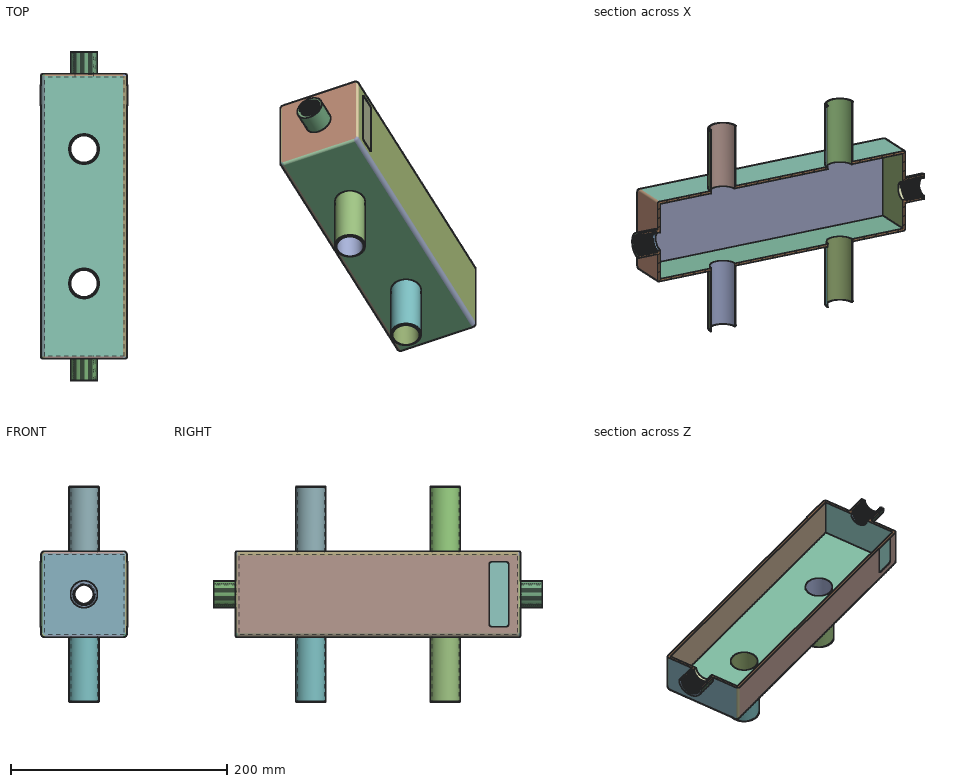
import cadquery as cq
body_width = 80.0
body_length = 264.0
wall = 3.0
long_edge_radius = 4.0
end_edge_radius = 2.0

pipe_diameter = 28.0
pipe_bore = 25.0
pipe_span = 200.0
pipe_end_chamfer = 1.0
pipe_spacing = 124.3
pipe_centres = [(0, -pipe_spacing / 2), (0, pipe_spacing / 2)]

overall_length = 304.0
socket_diameter = 25.0
socket_length = (overall_length - body_length) / 2
thread_minor_diameter = 17.3
thread_major_diameter = 20.5
thread_pitch = 1.8
thread_root_flat = 0.18
thread_crest_flat = 0.18
thread_overlap = 0.3

plate_thickness = 0.3
plate_length = 18.2
plate_height = 60.0
plate_corner_radius = 2.5
plate_end_gap = 11.0


def make_body():
    """Solid block with rounded long edges and smaller rounds around both ends."""
    block = cq.Workplane("XY").box(body_width, body_length, body_width)
    block = block.edges("|Y").fillet(long_edge_radius)
    block = block.faces("<Y or >Y").edges().fillet(end_edge_radius)
    return block


def make_cavity():
    """Chamber inside the walls and end plates."""
    inner_width = body_width - 2 * wall
    inner_length = body_length - 2 * wall
    return cq.Workplane("XY").box(inner_width, inner_length, inner_width)


def cylinders_along_z(diameter, length):
    """One cylinder, centred on Z = 0, at each pipe position."""
    return cq.Workplane("XY").pushPoints(pipe_centres).circle(diameter / 2).extrude(length / 2, both=True)


def cylinder_along_y(diameter, length):
    """Cylinder on the Y axis, centred on the origin."""
    return cq.Workplane("XZ").circle(diameter / 2).extrude(length / 2, both=True)


def make_name_plates():
    """Block across the body whose rounded ends stand just proud of the -X and +X faces."""
    centre_y = body_length / 2 - plate_end_gap - plate_length / 2
    span = body_width + 2 * plate_thickness
    plates = cq.Workplane("XY").box(span, plate_length, plate_height)
    plates = plates.edges("|X").fillet(plate_corner_radius)
    return plates.translate((0, centre_y, 0))


def make_thread_groove():
    """Helical V groove rising along Z from the origin, as long as a socket."""
    root_radius = thread_major_diameter / 2
    mouth_radius = thread_minor_diameter / 2 - thread_overlap
    half_mouth = (thread_pitch - thread_crest_flat) / 2
    half_root = thread_root_flat / 2
    helix = cq.Wire.makeHelix(thread_pitch, socket_length, thread_minor_diameter / 2)
    profile_points = [
        (mouth_radius, -half_mouth),
        (root_radius, -half_root),
        (root_radius, half_root),
        (mouth_radius, half_mouth),
    ]
    profile = cq.Workplane("XZ").polyline(profile_points).close()
    return profile.sweep(cq.Workplane(obj=helix), isFrenet=True)


def cut_threads(part):
    """Thread both sockets from their open ends inwards."""
    groove = make_thread_groove()
    end_distance = overall_length / 2
    quarter_turn = 90
    for side in (-1, 1):
        end_groove = groove.rotate((0, 0, 0), (1, 0, 0), side * quarter_turn)
        part = part.cut(end_groove.translate((0, side * end_distance, 0)))
    return part


pipes = cylinders_along_z(pipe_diameter, pipe_span)
pipes = pipes.faces("<Z or >Z").edges().chamfer(pipe_end_chamfer)
sockets = cylinder_along_y(socket_diameter, overall_length)

part = make_body().union(pipes).union(sockets).union(make_name_plates())
part = part.cut(make_cavity())
part = part.cut(cylinders_along_z(pipe_bore, pipe_span))
part = part.cut(cylinder_along_y(thread_minor_diameter, overall_length))
result = cut_threads(part)